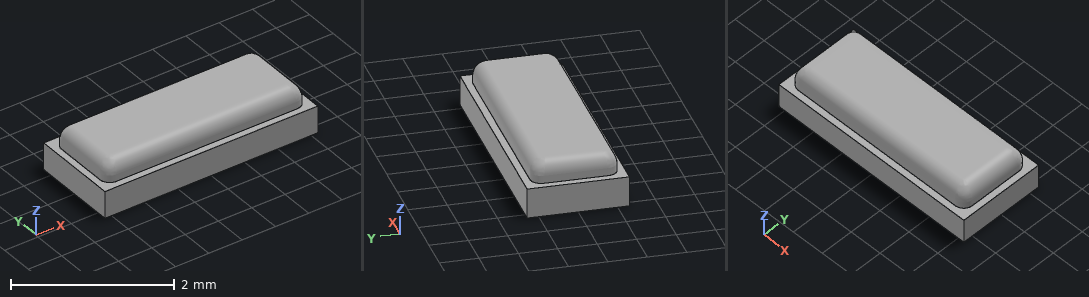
import cadquery as cq

base_length = 3.2
base_width = 1.3
base_height = 0.4

ledge = 0.1
lid_height = 0.3
lid_corner_radius = 0.145
lid_top_radius = 0.2


def make_base():
    return cq.Workplane("XY").box(base_length, base_width, base_height, centered=(True, True, False))


def make_lid():
    """Block with rounded upright corners and a larger round along its top edge."""
    lid_length = base_length - 2 * ledge
    lid_width = base_width - 2 * ledge
    block = (
        cq.Workplane("XY")
        .workplane(offset=base_height)
        .rect(lid_length, lid_width)
        .extrude(lid_height)
    )
    return block.edges("|Z").fillet(lid_corner_radius).faces(">Z").edges().fillet(lid_top_radius)


result = make_base().union(make_lid())